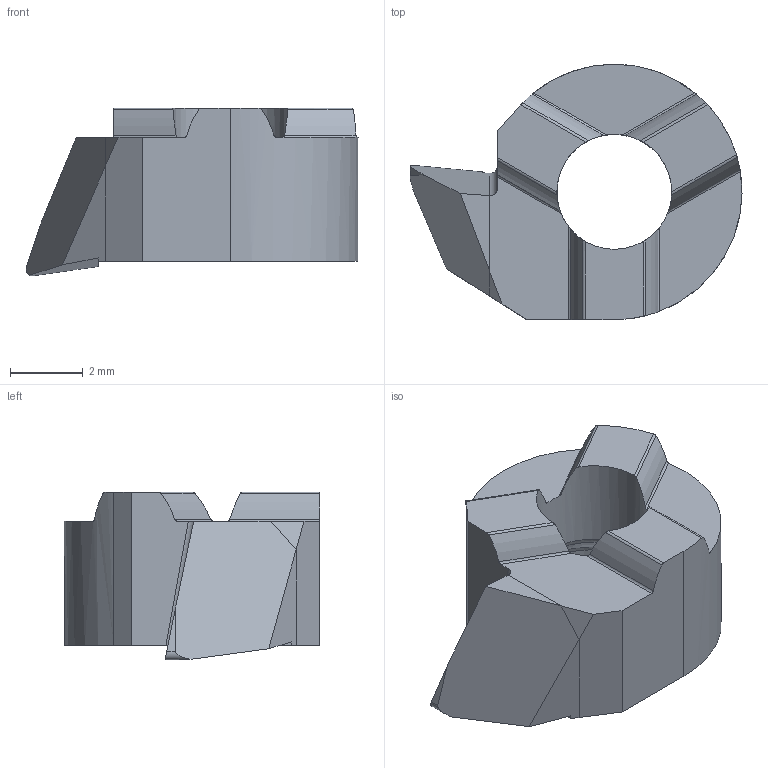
import cadquery as cq
import math

ring_radius = 3.5
ring_height = 3.4
bore_radius = 1.575
split_x = -3.42
wall_x = -3.2
front_corner_x = -2.4
side_angle = 32.4
shoulder_angle = 142.3
shoulder_end_y = 1.67

seat_radius = 2.23
seat_depth = 1.0
seat_angle = 45.0
seat_fillet = 0.2

crown_height = 0.8
rib_count = 3
first_rib_angle = -90
rib_top_half = 0.78
rib_shoulder_half = 0.86
rib_flank_half = 1.19
rib_foot_half = 1.245
rib_top_drop = 0.035
rib_foot_rise = 0.055
rib_flank_bulge = 0.035
corner_bulge = 0.01

tip_x = -5.6
tip_z = -0.4
nose_radius = 0.18
land_y = 0.459
flank_lean = 18.3
flank_relief = 20.7
edge_angle = 8.25
bottom_relief = 4.2
heel_x = -3.62
rake_top_y = -0.045
rake_top_x = -4.22
rake_lean = 10.25
rake_turn = 4.0
rake_fillet = 0.2

reach = 20.0
left_range = -reach / 2
long_y = (-8.0, 8.0)
long_z = (-3.0, 6.0)


def tan(angle):
    return math.tan(math.radians(angle))


def beyond_plane(point, normal):
    """Large block on the side of a plane that its normal points to."""
    across = cq.Vector(*normal).cross(cq.Vector(1, 2, 3))
    return cq.Workplane(cq.Plane(point, across, normal)).rect(reach, reach).extrude(reach)


def block(x_range, y_range, z_range):
    corner = (x_range[0], y_range[0], z_range[0])
    size = [high - low for low, high in (x_range, y_range, z_range)]
    return cq.Workplane("XY").box(*size, centered=False).translate(corner)


def bulged_point(start, end, bulge):
    """Point set off to the left of the middle of a chord."""
    dx, dy = end[0] - start[0], end[1] - start[1]
    length = math.hypot(dx, dy)
    middle_x, middle_y = (start[0] + end[0]) / 2, (start[1] + end[1]) / 2
    return (middle_x - bulge * dy / length, middle_y + bulge * dx / length)


shoulder = (
    ring_radius * math.cos(math.radians(shoulder_angle)),
    ring_radius * math.sin(math.radians(shoulder_angle)),
)
shoulder_slope = (shoulder[1] - shoulder_end_y) / (shoulder[0] - wall_x)
front_corner = (front_corner_x, -ring_radius)


def ring_prism(bottom, top):
    split_top_y = shoulder_end_y + shoulder_slope * (split_x - wall_x)
    split_bottom_y = -ring_radius + tan(side_angle) * (front_corner_x - split_x)
    return (
        cq.Workplane("XY", origin=(0, 0, bottom))
        .moveTo(*front_corner)
        .lineTo(0, -ring_radius)
        .threePointArc((ring_radius, 0), shoulder)
        .lineTo(split_x, split_top_y)
        .lineTo(split_x, split_bottom_y)
        .close()
        .extrude(top - bottom)
    )


def crown_rib(angle):
    """Radial bar with curved flanks, reaching down to the ring face."""
    top_z = crown_height
    foot = (rib_foot_half, 0)
    flank_low = (rib_flank_half, rib_foot_rise)
    flank_high = (rib_shoulder_half, top_z - rib_top_drop)
    crest = (rib_top_half, top_z)

    arcs = [
        (bulged_point(foot, flank_low, corner_bulge), flank_low),
        (bulged_point(flank_low, flank_high, -rib_flank_bulge), flank_high),
        (bulged_point(flank_high, crest, -corner_bulge), crest),
    ]
    half = cq.Workplane("YZ", origin=(0, 0, ring_height)).moveTo(*foot)
    for middle, end in arcs:
        half = half.threePointArc(middle, end)
    half = half.lineTo(0, top_z).lineTo(0, 0).close().extrude(2 * ring_radius)
    return half.union(half.mirror("XZ")).rotate((0, 0, 0), (0, 0, 1), angle)


def bore_and_seat():
    cone_height = (seat_radius - bore_radius) / tan(seat_angle)
    top = ring_height + crown_height
    inner_edges = cq.selectors.BoxSelector((-reach, -reach, seat_depth / 2), (reach, reach, ring_height))
    return (
        cq.Workplane("XZ")
        .polyline([
            (0, 0),
            (seat_radius, 0),
            (seat_radius, seat_depth),
            (bore_radius, seat_depth + cone_height),
            (bore_radius, top),
            (0, top),
        ])
        .close()
        .revolve(360, (0, 0), (0, 1))
        .edges("%CIRCLE")
        .edges(inner_edges)
        .fillet(seat_fillet)
    )


def rake_gap():
    """Space in front of the rake face, rounded where it meets the wall."""
    normal = (tan(rake_turn), 1, tan(rake_lean))
    space = beyond_plane((rake_top_x, rake_top_y, ring_height), normal)
    space = space.intersect(block((left_range, wall_x), long_y, long_z))
    mid_z = ring_height / 2
    root_y = rake_top_y - tan(rake_turn) * (wall_x - rake_top_x) + tan(rake_lean) * (ring_height - mid_z)
    root_edge = space.edges(cq.selectors.NearestToPointSelector((wall_x, root_y, mid_z)))
    return root_edge.fillet(rake_fillet)


nose_x = tip_x + nose_radius
nose_z = tip_z + nose_radius


def nose_point(angle):
    turn = math.radians(angle)
    return (nose_x + nose_radius * math.cos(turn), nose_z + nose_radius * math.sin(turn))


flank_start = nose_point(180 - flank_lean)
edge_start = nose_point(270 + edge_angle)
nose_middle = nose_point(225)


def flank_waste():
    normal = (-1, -tan(flank_relief), tan(flank_lean))
    return beyond_plane((flank_start[0], land_y, flank_start[1]), normal)


def bottom_waste():
    normal = (tan(edge_angle), -tan(bottom_relief), -1)
    under = beyond_plane((edge_start[0], land_y, edge_start[1]), normal)
    return under.intersect(block((left_range, heel_x), long_y, long_z))


def side_waste():
    normal = (-tan(side_angle), -1, 0)
    return beyond_plane((*front_corner, 0), normal)


def make_ring():
    ring = ring_prism(0, ring_height).cut(flank_waste())
    crown_limit = ring_prism(ring_height, ring_height + crown_height)
    for index in range(rib_count):
        rib = crown_rib(first_rib_angle + index * 360 / rib_count)
        ring = ring.union(rib.intersect(crown_limit))
    return ring.cut(bore_and_seat()).cut(rake_gap())


def make_tooth():
    top_x = flank_start[0] + tan(flank_lean) * (ring_height - flank_start[1])
    heel_z = edge_start[1] + tan(edge_angle) * (heel_x - edge_start[0])
    front_y, back_y = long_y
    tooth = (
        cq.Workplane("XZ", origin=(0, back_y, 0))
        .moveTo(split_x, ring_height)
        .lineTo(top_x, ring_height)
        .lineTo(*flank_start)
        .threePointArc(nose_middle, edge_start)
        .lineTo(heel_x, heel_z)
        .lineTo(heel_x, 0)
        .lineTo(split_x, 0)
        .close()
        .extrude(back_y - front_y)
    )
    return tooth.cut(rake_gap()).cut(flank_waste()).cut(bottom_waste()).cut(side_waste())


ring = make_ring()
tooth = make_tooth()

result = cq.Compound.makeCompound([ring.val(), tooth.val()])